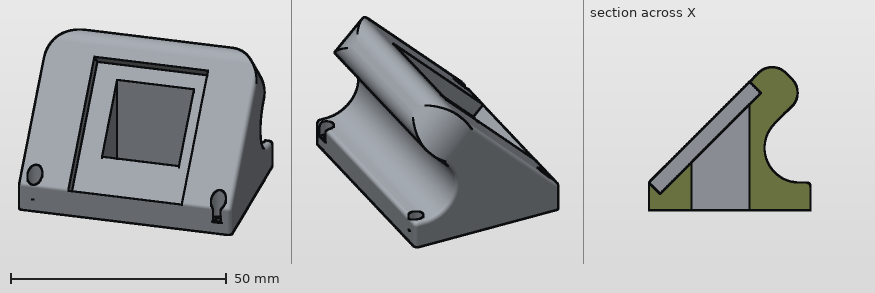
import cadquery as cq
import math

WIDTH = 51.2
DEPTH = 37.5
BASE_HEIGHT = 6.5
EDGE_RADIUS = 1.0

TILT = math.radians(45)
PANEL_LENGTH = 40.44
PANEL_THICKNESS = 11.0
TOP_EDGE_RADIUS = 4.5
CORNER_RADIUS = 10.0
THROAT_RADIUS = 8.0

RECESS_LEFT = -13.55
RECESS_RIGHT = 13.7
RECESS_LENGTH = 33.0
RECESS_DEPTH = 3.7

WINDOW_LEFT = -8.1
WINDOW_RIGHT = 10.35
WINDOW_FRONT = 9.9
WINDOW_BACK = 23.3

SCREW_DIAMETER = 1.6
HEAD_DIAMETER = 3.5
HEAD_SEAT_Z = 2.9
HEAD_CLEARANCE = 10.0
SCREW_X = 22.1
SCREW_POSITIONS = [
    (-SCREW_X, 2.0),
    (SCREW_X, 1.5),
    (-SCREW_X, 35.6),
    (SCREW_X, 36.5),
]

PANEL_PLANE = cq.Plane(
    origin=(0, 0, BASE_HEIGHT),
    xDir=(1, 0, 0),
    normal=(0, -math.sin(TILT), math.cos(TILT)),
)


def slope_point(along, below):
    """(Y, Z) of a point up the slope and a distance beneath the panel face."""
    y = along * math.cos(TILT) + below * math.sin(TILT)
    z = BASE_HEIGHT + along * math.sin(TILT) - below * math.cos(TILT)
    return y, z


def offset_point(center, radius, angle):
    """(Y, Z) of a point on a circle, with the angle measured from +Y towards +Z."""
    return center[0] + radius * math.cos(angle), center[1] + radius * math.sin(angle)


def side_profile():
    """Side outline: base, hollow throat and leaning panel with a rounded top."""
    quarter = math.pi / 2
    outward = TILT + quarter
    inward = TILT - quarter
    round_start = PANEL_LENGTH - TOP_EDGE_RADIUS
    front_center = slope_point(round_start, TOP_EDGE_RADIUS)
    back_center = slope_point(round_start, PANEL_THICKNESS - TOP_EDGE_RADIUS)

    throat_y = (PANEL_THICKNESS + THROAT_RADIUS + THROAT_RADIUS * math.cos(TILT)) / math.sin(TILT)
    throat_center = (throat_y, BASE_HEIGHT + THROAT_RADIUS)
    throat_middle_angle = (outward + 3 * quarter) / 2

    return (
        cq.Workplane("YZ")
        .moveTo(0, 0)
        .lineTo(0, BASE_HEIGHT)
        .lineTo(*slope_point(round_start, 0))
        .threePointArc(
            offset_point(front_center, TOP_EDGE_RADIUS, (outward + TILT) / 2),
            offset_point(front_center, TOP_EDGE_RADIUS, TILT),
        )
        .lineTo(*offset_point(back_center, TOP_EDGE_RADIUS, TILT))
        .threePointArc(
            offset_point(back_center, TOP_EDGE_RADIUS, (inward + TILT) / 2),
            offset_point(back_center, TOP_EDGE_RADIUS, inward),
        )
        .lineTo(*offset_point(throat_center, THROAT_RADIUS, outward))
        .threePointArc(
            offset_point(throat_center, THROAT_RADIUS, throat_middle_angle),
            (throat_y, BASE_HEIGHT),
        )
        .lineTo(DEPTH, BASE_HEIGHT)
        .lineTo(DEPTH, 0)
        .close()
    )


def rounded_body():
    """Extruded profile with every outer edge rounded except around the underside."""
    body = side_profile().extrude(WIDTH / 2, both=True)
    side_edges = body.faces("<X or >X").edges("not <Z")
    base_top_edges = body.faces("<Y or >Y").edges(">Z")
    return side_edges.add(base_top_edges).fillet(EDGE_RADIUS)


def corner_cutter(side):
    """Material outside the rounded top corner of the panel on one side (-1 or 1)."""
    center_x = side * (WIDTH / 2 - CORNER_RADIUS)
    center_y = PANEL_LENGTH - CORNER_RADIUS
    block = (
        cq.Workplane(PANEL_PLANE)
        .center(center_x + side * CORNER_RADIUS, center_y + CORNER_RADIUS)
        .rect(2 * CORNER_RADIUS, 2 * CORNER_RADIUS)
        .extrude(PANEL_THICKNESS, both=True)
    )
    rounding = (
        cq.Workplane(PANEL_PLANE)
        .center(center_x, center_y)
        .circle(CORNER_RADIUS)
        .extrude(PANEL_THICKNESS, both=True)
    )
    return block.cut(rounding)


def display_recess():
    """Flat-floored recess sunk square to the panel face."""
    return (
        cq.Workplane(PANEL_PLANE)
        .center((RECESS_LEFT + RECESS_RIGHT) / 2, RECESS_LENGTH / 2)
        .rect(RECESS_RIGHT - RECESS_LEFT, RECESS_LENGTH)
        .extrude(-RECESS_DEPTH)
    )


def window():
    """Vertical rectangular shaft, reaching the panel face level at its back wall."""
    height = BASE_HEIGHT + WINDOW_BACK * math.tan(TILT)
    return (
        cq.Workplane("XY")
        .center((WINDOW_LEFT + WINDOW_RIGHT) / 2, (WINDOW_FRONT + WINDOW_BACK) / 2)
        .rect(WINDOW_RIGHT - WINDOW_LEFT, WINDOW_BACK - WINDOW_FRONT)
        .extrude(height)
    )


def screw_hole(x, y):
    """Through hole with a wider clearance for the screw head above its seat."""
    shank = cq.Workplane("XY").center(x, y).circle(SCREW_DIAMETER / 2).extrude(HEAD_SEAT_Z)
    head = (
        cq.Workplane("XY", origin=(x, y, HEAD_SEAT_Z))
        .circle(HEAD_DIAMETER / 2)
        .extrude(HEAD_CLEARANCE)
    )
    return shank.union(head)


result = rounded_body()
for side in (-1, 1):
    result = result.cut(corner_cutter(side))
result = result.cut(display_recess()).cut(window())
for screw_x, screw_y in SCREW_POSITIONS:
    result = result.cut(screw_hole(screw_x, screw_y))